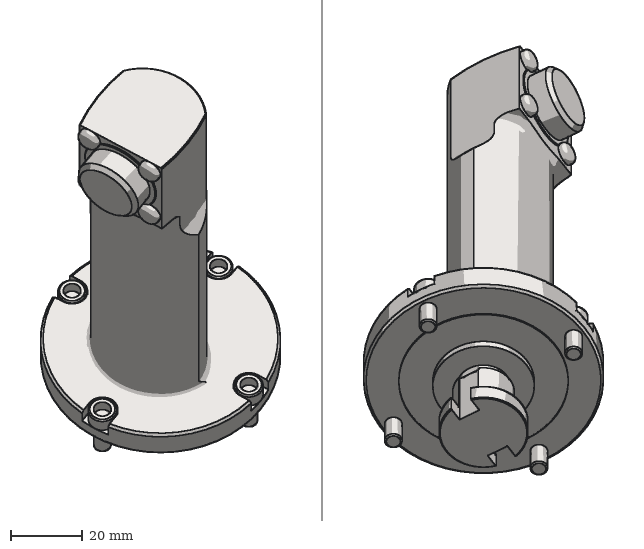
import cadquery as cq
import math

TOTAL_HEIGHT = 147.9
FLANGE_TOP = 33.0
FLANGE_BOTTOM = 24.0
FLANGE_LIP_BOTTOM = 23.5
SEAT_BOTTOM = 21.3
SHAFT_TOP = 18.6
FOOT_TOP = 5.5

FLANGE_DIAMETER = 67.5
FLANGE_CHAMFER = 0.7
FLANGE_LIP_DIAMETER = 47.6
SEAT_DIAMETER = 28.5
NECK_DIAMETER = 15.1
SHAFT_DIAMETER = 17.3
FOOT_DIAMETER = 25.0
FOOT_CHAMFER = 0.3
SLOT_WIDTH = 6.5

SCREW_CIRCLE_RADIUS = 29.7
SCREW_HEAD_DIAMETER = 8.0
SCREW_HEAD_CHAMFER = 0.5
SCREW_HEAD_TOP = FLANGE_TOP + 0.3
SCREW_SOCKET_DIAMETER = 4.9
SCREW_SOCKET_DEPTH = 3.5
SCREW_DIAMETER = 4.9
SCREW_CHAMFER = 0.5
SCREW_BOTTOM = 16.0
POCKET_WIDTH = 8.7
POCKET_FLOOR = 28.7

FRONT_RADIUS = 19.7
FRONT_BASE_FILLET = 1.3
BACK_RADIUS = 18.0
BACK_APEX_Y = 8.9
BACK_CENTRE_Y = BACK_APEX_Y - BACK_RADIUS
BACK_BASE_FILLET = 2.8

HEAD_FACE_Y = -20.4
HEAD_BOTTOM = 119.2
HEAD_FILLET = 3.0
HEAD_TOP_CHAMFER = 0.3
HEAD_BACK_Y = -7.4
HEAD_HALF_WIDTH = 15.1
SIDE_RADIUS = 56.2
SIDE_CENTRE_Y = -8.9
SIDE_BOTTOM = 113.0
SIDE_RUNOUT_RADIUS = 11.8

CONNECTOR_Z = 134.4
CONNECTOR_DIAMETER = 20.1
CONNECTOR_LENGTH = 7.5
CONNECTOR_CHAMFER = 1.3
PAD_DIAMETER = 24.0
PAD_HEIGHT = 0.3
PAD_CHAMFER = 0.22
FACE_SCREW_PITCH = 20.3
FACE_SCREW_DIAMETER = 6.7
FACE_SCREW_TIP_DIAMETER = 3.5
FACE_SCREW_HEIGHT = 2.4

CUT_MARGIN = 7.4


def disc(diameter, bottom, top, x=0.0):
    """Upright cylinder between two heights."""
    return cq.Workplane("XY", origin=(x, 0, bottom)).circle(diameter / 2).extrude(top - bottom)


def flared_cylinder(radius, fillet, centre_y):
    """Upright cylinder that widens with a concave fillet where it meets the flange."""
    sunk_bottom = FLANGE_BOTTOM
    foot_radius = radius + fillet
    arc_offset = fillet * (1 - math.sqrt(0.5))
    profile = (
        cq.Workplane("XZ", origin=(0, centre_y, 0))
        .moveTo(0, sunk_bottom)
        .lineTo(foot_radius, sunk_bottom)
        .lineTo(foot_radius, FLANGE_TOP)
        .threePointArc((radius + arc_offset, FLANGE_TOP + arc_offset), (radius, FLANGE_TOP + fillet))
        .lineTo(radius, TOTAL_HEIGHT)
        .lineTo(0, TOTAL_HEIGHT)
        .close()
    )
    return profile.revolve(360, (0, 0, 0), (0, 1, 0))


def head_overhang():
    """Square front of the head, blended down to the column with a concave fillet."""
    outer_radius = FRONT_RADIUS + CUT_MARGIN
    arc_offset = HEAD_FILLET * (1 - math.sqrt(0.5))
    ring = (
        cq.Workplane("XZ")
        .moveTo(0, HEAD_BOTTOM - HEAD_FILLET)
        .lineTo(FRONT_RADIUS, HEAD_BOTTOM - HEAD_FILLET)
        .threePointArc(
            (FRONT_RADIUS + arc_offset, HEAD_BOTTOM - arc_offset),
            (FRONT_RADIUS + HEAD_FILLET, HEAD_BOTTOM),
        )
        .lineTo(outer_radius, HEAD_BOTTOM)
        .lineTo(outer_radius, TOTAL_HEIGHT)
        .lineTo(0, TOTAL_HEIGHT)
        .close()
        .revolve(360, (0, 0, 0), (0, 1, 0))
    )
    front_box = cq.Workplane("XY").box(
        2 * FRONT_RADIUS, HEAD_BACK_Y - HEAD_FACE_Y, TOTAL_HEIGHT, centered=(True, False, False)
    )
    return ring.intersect(front_box.translate((0, HEAD_FACE_Y, 0)))


def side_cutter():
    """Ring that leaves the gently curved +X side of the head and its run-out into the column."""
    outer_radius = SIDE_RADIUS + SIDE_RUNOUT_RADIUS
    cut_top = TOTAL_HEIGHT + CUT_MARGIN
    arc_drop = SIDE_RUNOUT_RADIUS * math.sqrt(0.5)
    centre_x = HEAD_HALF_WIDTH - SIDE_RADIUS
    return (
        cq.Workplane("XZ", origin=(centre_x, SIDE_CENTRE_Y, 0))
        .moveTo(SIDE_RADIUS, cut_top)
        .lineTo(SIDE_RADIUS, SIDE_BOTTOM)
        .threePointArc(
            (outer_radius - arc_drop, SIDE_BOTTOM - arc_drop),
            (outer_radius, SIDE_BOTTOM - SIDE_RUNOUT_RADIUS),
        )
        .lineTo(outer_radius, cut_top)
        .close()
        .revolve(360, (0, 0, 0), (0, 1, 0))
    )


def column():
    """Column with its head: two overlapping cylinders, the overhang and the trimmed sides."""
    front = flared_cylinder(FRONT_RADIUS, FRONT_BASE_FILLET, 0)
    back = flared_cylinder(BACK_RADIUS, BACK_BASE_FILLET, BACK_CENTRE_Y)
    body = front.intersect(back).union(head_overhang())
    right_cutter = side_cutter()
    body = body.cut(right_cutter).cut(right_cutter.mirror("YZ"))
    return body.faces(">Z").edges("%CIRCLE").chamfer(HEAD_TOP_CHAMFER)


def stem():
    """Lip, seat, neck, shaft and foot under the flange, with a keyway on each X side."""
    foot = disc(FOOT_DIAMETER, 0, FOOT_TOP).edges().chamfer(FOOT_CHAMFER)
    shaft = disc(SHAFT_DIAMETER, 0, SHAFT_TOP)
    body = foot.union(shaft)
    for side in (-1, 1):
        keyway = cq.Workplane("XY").box(
            FOOT_DIAMETER, SLOT_WIDTH, SHAFT_TOP, centered=(True, True, False)
        )
        body = body.cut(keyway.translate((side * (NECK_DIAMETER + FOOT_DIAMETER) / 2, 0, 0)))
    body = body.union(disc(NECK_DIAMETER, 0, FLANGE_BOTTOM))
    body = body.union(disc(SEAT_DIAMETER, SEAT_BOTTOM, FLANGE_BOTTOM))
    return body.union(disc(FLANGE_LIP_DIAMETER, FLANGE_LIP_BOTTOM, FLANGE_BOTTOM))


def flange():
    """Round mounting plate with both rims chamfered."""
    return disc(FLANGE_DIAMETER, FLANGE_BOTTOM, FLANGE_TOP).edges().chamfer(FLANGE_CHAMFER)


def screw_pocket():
    """U-shaped pocket, open at the +X rim of the flange."""
    depth = FLANGE_TOP + CUT_MARGIN - POCKET_FLOOR
    round_end = disc(POCKET_WIDTH, POCKET_FLOOR, POCKET_FLOOR + depth, x=SCREW_CIRCLE_RADIUS)
    opening = cq.Workplane("XY").box(CUT_MARGIN, POCKET_WIDTH, depth, centered=(False, True, False))
    return round_end.union(opening.translate((SCREW_CIRCLE_RADIUS, 0, POCKET_FLOOR)))


def flange_screw():
    """Socket head screw on the +X side of the flange."""
    x = SCREW_CIRCLE_RADIUS
    head = disc(SCREW_HEAD_DIAMETER, POCKET_FLOOR, SCREW_HEAD_TOP, x=x)
    head = head.faces(">Z").edges().chamfer(SCREW_HEAD_CHAMFER)
    socket = disc(SCREW_SOCKET_DIAMETER, SCREW_HEAD_TOP - SCREW_SOCKET_DEPTH, SCREW_HEAD_TOP, x=x)
    shank = disc(SCREW_DIAMETER, SCREW_BOTTOM, POCKET_FLOOR, x=x)
    shank = shank.faces("<Z").edges().chamfer(SCREW_CHAMFER)
    return head.cut(socket).union(shank)


def face_disc(diameter, height, x=0.0, z=CONNECTOR_Z):
    """Cylinder standing out of the head face toward -Y."""
    return cq.Workplane("XZ", origin=(x, HEAD_FACE_Y, z)).circle(diameter / 2).extrude(height)


def connector():
    """Plug on a thin pad, held by four domed screws."""
    plug = face_disc(CONNECTOR_DIAMETER, CONNECTOR_LENGTH).faces("<Y").edges().chamfer(CONNECTOR_CHAMFER)
    pad = face_disc(PAD_DIAMETER, PAD_HEIGHT).faces("<Y").edges().chamfer(PAD_CHAMFER)
    body = plug.union(pad)
    dome_fillet = (FACE_SCREW_DIAMETER - FACE_SCREW_TIP_DIAMETER) / 2
    for x_side in (-1, 1):
        for z_side in (-1, 1):
            x = x_side * FACE_SCREW_PITCH / 2
            z = CONNECTOR_Z + z_side * FACE_SCREW_PITCH / 2
            screw = face_disc(FACE_SCREW_DIAMETER, FACE_SCREW_HEIGHT, x, z)
            body = body.union(screw.faces("<Y").edges().fillet(dome_fillet))
    return body


result = flange().union(stem()).union(column()).union(connector())
for angle in (0, 90, 180, 270):
    result = result.cut(screw_pocket().rotate((0, 0, 0), (0, 0, 1), angle))
    result = result.union(flange_screw().rotate((0, 0, 0), (0, 0, 1), angle))